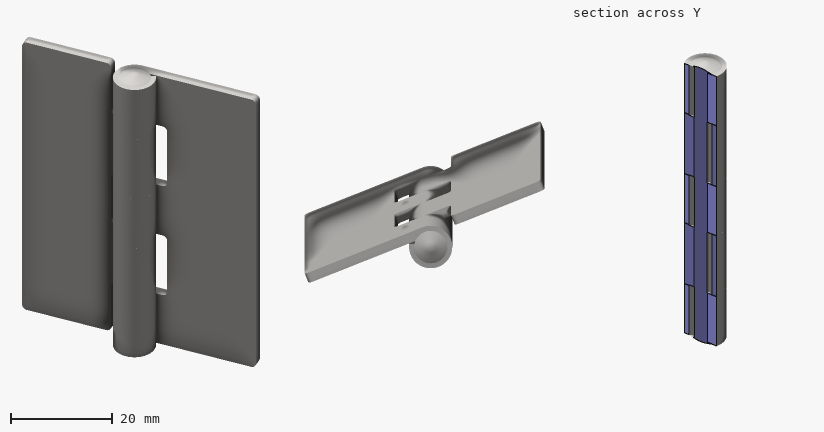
import cadquery as cq
import math

hinge_width = 50.0
hinge_height = 65.0
leaf_thickness = 2.0
knuckle_outer_radius = 4.25
knuckle_bore_radius = knuckle_outer_radius - leaf_thickness

right_knuckle_count = 3
left_knuckle_count = right_knuckle_count - 1
right_knuckle_height = 12.0
left_knuckle_height = (hinge_height - right_knuckle_count * right_knuckle_height) / left_knuckle_count
knuckle_pitch = right_knuckle_height + left_knuckle_height

cutout_edge = 6.0
corner_radius = 1.0

curl_outer_end_angle = math.radians(28)
curl_inner_end_angle = math.radians(35)

pin_head_radius = 3.25
pin_head_height = 1.0

leaf_back = knuckle_outer_radius
leaf_front = knuckle_bore_radius
top = hinge_height / 2
bottom = -top


def point_on_circle(radius, angle):
    return (radius * math.cos(angle), radius * math.sin(angle))


def make_plate():
    """Flat plate of a leaf on the +X side, from the cutout edge to the outer edge."""
    plate_width = hinge_width / 2 - cutout_edge
    plate = cq.Workplane("XY").box(plate_width, leaf_thickness, hinge_height, centered=False)
    return plate.translate((cutout_edge, leaf_front, bottom))


def make_knuckle(knuckle_bottom, knuckle_height):
    """Strip that leaves the plate at the cutout edge and rolls around the pin."""
    return (
        cq.Workplane("XY", origin=(0, 0, knuckle_bottom))
        .moveTo(0, leaf_front)
        .lineTo(cutout_edge, leaf_front)
        .lineTo(cutout_edge, leaf_back)
        .lineTo(0, leaf_back)
        .threePointArc(
            (-knuckle_outer_radius, 0),
            point_on_circle(knuckle_outer_radius, curl_outer_end_angle),
        )
        .lineTo(*point_on_circle(knuckle_bore_radius, curl_inner_end_angle))
        .threePointArc((-knuckle_bore_radius, 0), (0, leaf_front))
        .close()
        .extrude(knuckle_height)
    )


def make_leaf(first_knuckle_bottom, knuckle_count, knuckle_height):
    """Leaf on the +X side: plate, knuckles and rounded corners."""
    leaf = make_plate()
    for i in range(knuckle_count):
        leaf = leaf.union(make_knuckle(first_knuckle_bottom + i * knuckle_pitch, knuckle_height))
    return leaf.edges("|Y").fillet(corner_radius)


def make_pin():
    """Pin that fills the knuckle bores, with a cone over each end of the barrel."""
    return (
        cq.Workplane("XZ")
        .moveTo(0, bottom - pin_head_height)
        .lineTo(pin_head_radius, bottom)
        .lineTo(knuckle_bore_radius, bottom)
        .lineTo(knuckle_bore_radius, top)
        .lineTo(pin_head_radius, top)
        .lineTo(0, top + pin_head_height)
        .close()
        .revolve(360, (0, 0), (0, 1))
    )


right_leaf = make_leaf(bottom, right_knuckle_count, right_knuckle_height)

left_leaf = make_leaf(bottom + right_knuckle_height, left_knuckle_count, left_knuckle_height).mirror("YZ")

pin = make_pin()

result = cq.Compound.makeCompound([right_leaf.solids().val(), left_leaf.solids().val(), pin.val()])